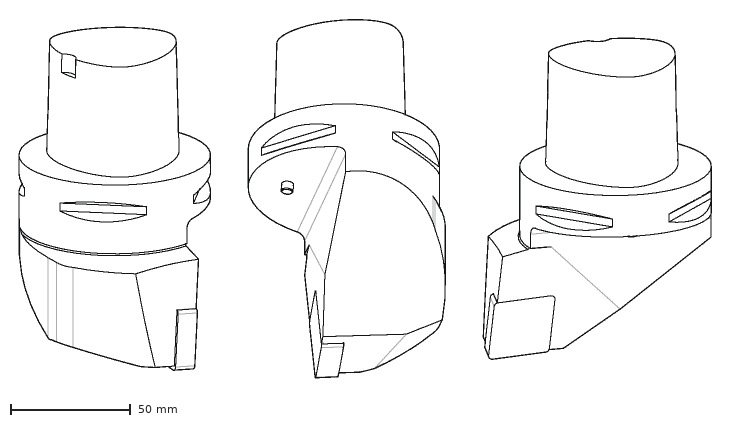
import cadquery as cq
import math


shank_height = 48.0
shank_radius = 27.6
lobe_height = 2.0
shank_taper = 1 / 40
outline_points = 48
notch_diameter = 11.5
notch_depth = 2.7
notch_height = 8.0

flange_diameter = 80.0
flange_radius = flange_diameter / 2
flange_height = 30.2
slot_flat_distance = 35.6
slot_floor_height = 3.5
slot_center_z = -12.0
slot_side_angle = 30.0
slot_angles = [45, 135, 225, 315]

back_y = 8.0
head_bottom_z = -89.6
cone_slope = math.tan(math.radians(15))
cone_radius = 64.0
flare = 0.6

rim_end_x = -22.7
blend_end = (-20.0, -34.5)
front_arc_middle = (-2.0, -42.9)
front_y = -45.2
front_start_x = 13.5
front_end_x = 19.1
corner_middle = (23.5, -44.7)
corner_end = (27.4, -42.9)
side_arc_middle = (41.5, -33.0)
side_arc_end = (52.2, -18.3)
side_end = (56.3, -10.2)

underside_point = (-flange_radius, back_y, -31.6)
underside_normal = (-0.71, -0.03, -1)
end_flank_point = (50.5, 5.1, -33.4)
end_flank_normal = (1, -0.09, 0.087)
bottom_point = (23.4, 3.2, -76.7)
bottom_normal = (-0.05, -0.095, -1)
relief_point = (front_start_x, front_y, -68.2)
relief_normal = (0.02, -0.37, -1)

roof_rim_z = -18.0
roof_slope = math.tan(math.radians(4.5))
roof_fillet = 3.6

pin_diameter = 5.0
pin_y = 24.0
pin_length = 3.7
pin_chamfer = 0.4
pin_sink = 1.3

rake_offset = 14.7
rake_x_slope = 0.11
rake_z_slope = 0.11

insert_edge = 25.9
insert_angle = 80.0
lead_angle = 5.0
insert_thickness = 9.5
nose_radius = 1.7
tip_x = 55.3
tip_z = -80.1

block_size = 320.0


def half_space(origin, outward):
    """Large block on the outward side of a plane."""
    plane = cq.Plane(origin=origin, normal=outward)
    return cq.Workplane(plane).rect(block_size, block_size).extrude(block_size)


def rake_y(x, z):
    return rake_offset - rake_x_slope * x + rake_z_slope * z


def shank_outline(mean_radius):
    """Closed lobed curve whose distance to its tangent is mean + lobe * cos(3 * angle)."""
    points = []
    for i in range(outline_points):
        turn = 2 * math.pi * i / outline_points
        support = mean_radius + lobe_height * math.cos(3 * turn)
        slope = -3 * lobe_height * math.sin(3 * turn)
        along_lobe = support * math.cos(turn) - slope * math.sin(turn)
        across_lobe = support * math.sin(turn) + slope * math.cos(turn)
        points.append((-across_lobe, along_lobe))
    return points


def make_shank():
    top_radius = shank_radius - shank_taper * shank_height
    shank = (
        cq.Workplane("XY").spline(shank_outline(shank_radius), periodic=True).close()
        .workplane(offset=shank_height)
        .spline(shank_outline(top_radius), periodic=True).close()
        .loft(ruled=True)
    )
    notch_y = -(top_radius - lobe_height) + notch_depth - notch_diameter / 2
    notch = (
        cq.Workplane("XY", origin=(0, notch_y, shank_height - notch_height))
        .circle(notch_diameter / 2).extrude(notch_height)
    )
    return shank.cut(notch)


def make_slot(angle):
    """Straight slot in the flange rim, with sloping upper and lower sides."""
    depth = flange_radius - slot_flat_distance
    floor_half = slot_floor_height / 2
    mouth_half = floor_half + depth * math.tan(math.radians(slot_side_angle))
    return (
        cq.Workplane("XZ")
        .polyline([
            (slot_flat_distance, slot_center_z - floor_half),
            (flange_radius, slot_center_z - mouth_half),
            (flange_radius, slot_center_z + mouth_half),
            (slot_flat_distance, slot_center_z + floor_half),
        ])
        .close().extrude(flange_radius, both=True)
        .rotate((0, 0, 0), (0, 0, 1), angle)
    )


def make_flange():
    flange = cq.Workplane("XY").circle(flange_radius).extrude(-flange_height)
    for angle in slot_angles:
        flange = flange.cut(make_slot(angle))
    return flange


def make_head():
    rim_end = (rim_end_x, -math.sqrt(flange_radius**2 - rim_end_x**2))
    blank = (
        cq.Workplane("XY", origin=(0, 0, head_bottom_z))
        .moveTo(0, flange_radius)
        .threePointArc((-flange_radius, 0), rim_end)
        .lineTo(*blend_end)
        .threePointArc(front_arc_middle, (front_start_x, front_y))
        .lineTo(front_end_x, front_y)
        .threePointArc(corner_middle, corner_end)
        .threePointArc(side_arc_middle, side_arc_end)
        .lineTo(*side_end)
        .lineTo(side_end[0], flange_radius)
        .close().extrude(-head_bottom_z)
    )
    flare_radius = flange_radius + flare
    flare_z = -flange_height - flare
    cone_rim_z = flare_z - cone_slope * (cone_radius - flare_radius)
    envelope = (
        cq.Workplane("XZ")
        .polyline([
            (0, head_bottom_z), (cone_radius, head_bottom_z), (cone_radius, cone_rim_z),
            (flare_radius, flare_z), (flange_radius, -flange_height), (0, -flange_height),
        ])
        .close().revolve(360, (0, 0, 0), (0, 1, 0))
    )
    head = blank.intersect(envelope)

    head = head.cut(half_space(underside_point, underside_normal))
    head = head.cut(half_space(end_flank_point, end_flank_normal))
    head = head.cut(half_space(bottom_point, bottom_normal))
    head = head.cut(half_space(relief_point, relief_normal))
    return head.cut(half_space((0, rake_offset, 0), (rake_x_slope, 1, -rake_z_slope)))


def roof_z(y):
    return roof_rim_z - roof_slope * (flange_radius - y)


def make_back_space():
    outer_y = 2 * flange_radius
    return (
        cq.Workplane("YZ")
        .polyline([
            (back_y, head_bottom_z), (outer_y, head_bottom_z),
            (outer_y, roof_z(outer_y)), (back_y, roof_z(back_y)),
        ])
        .close().extrude(block_size / 2, both=True)
        .edges("|X").edges("<Y").edges(">Z").fillet(roof_fillet)
    )


def make_pin():
    """Coolant pin square to the roof, sunk a little into the flange."""
    plane = cq.Plane(origin=(0, pin_y, roof_z(pin_y)), xDir=(1, 0, 0), normal=(0, roof_slope, -1))
    return (
        cq.Workplane(plane).workplane(offset=-pin_sink)
        .circle(pin_diameter / 2).extrude(pin_sink + pin_length)
        .faces("<Z").edges().chamfer(pin_chamfer)
    )


def make_insert():
    lead = math.radians(lead_angle)
    edge_x = -math.cos(lead)
    edge_z = math.sin(lead)
    edge_y = -rake_x_slope * edge_x + rake_z_slope * edge_z
    plane = cq.Plane(
        origin=(tip_x, rake_y(tip_x, tip_z), tip_z),
        xDir=(edge_x, edge_y, edge_z),
        normal=(rake_x_slope, 1, -rake_z_slope),
    )
    corner = math.radians(insert_angle)
    side_x = insert_edge * math.cos(corner)
    side_y = insert_edge * math.sin(corner)
    return (
        cq.Workplane(plane)
        .polyline([(0, 0), (insert_edge, 0), (insert_edge + side_x, side_y), (side_x, side_y)])
        .close().extrude(-insert_thickness)
        .edges(cq.selectors.ParallelDirSelector(plane.zDir)).fillet(nose_radius)
    )


insert = make_insert()
holder = make_flange().union(make_head()).cut(make_back_space())
holder = holder.union(make_shank()).union(make_pin()).cut(insert)

result = cq.Compound.makeCompound([holder.solids().val(), insert.val()])